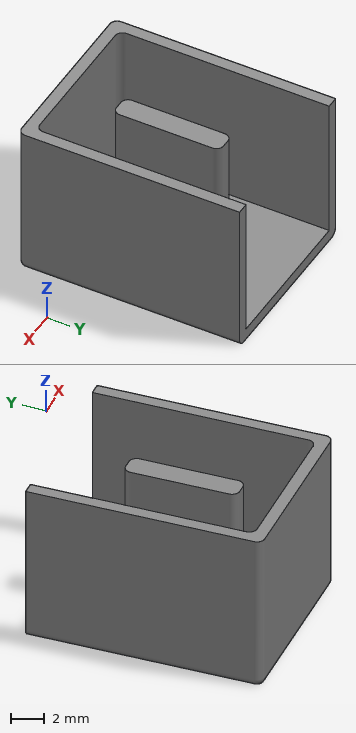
import cadquery as cq

width = 11.8
length = 15
height = 10.5
wall = 0.8
edge_radius = 0.5

rib_width = 1.5
rib_length = 7.25
rib_start = 3.57
rib_drop = 0.8
rib_radius = 0.5


def make_shell():
    """Box with rounded front corners and a rounded lower edge, left sharp at the open end."""
    return (
        cq.Workplane("XY")
        .box(width, length, height, centered=(True, False, False))
        .edges("|Z and <Y")
        .fillet(edge_radius)
        .faces("<Z")
        .edges("not >Y")
        .fillet(edge_radius)
    )


def make_cavity():
    """Inner space that runs out through the top and the +Y end."""
    return (
        cq.Workplane("XY")
        .box(width - 2 * wall, length - wall, height - wall, centered=(True, False, False))
        .edges("|Z and <Y")
        .fillet(edge_radius)
        .translate((0, wall, wall))
    )


def make_rib():
    """Rib with rounded vertical corners, rising from the floor."""
    rib_height = height - wall - rib_drop
    return (
        cq.Workplane("XY")
        .box(rib_width, rib_length, rib_height, centered=(True, False, False))
        .edges("|Z")
        .fillet(rib_radius)
        .translate((0, rib_start, wall))
    )


result = make_shell().cut(make_cavity()).union(make_rib())